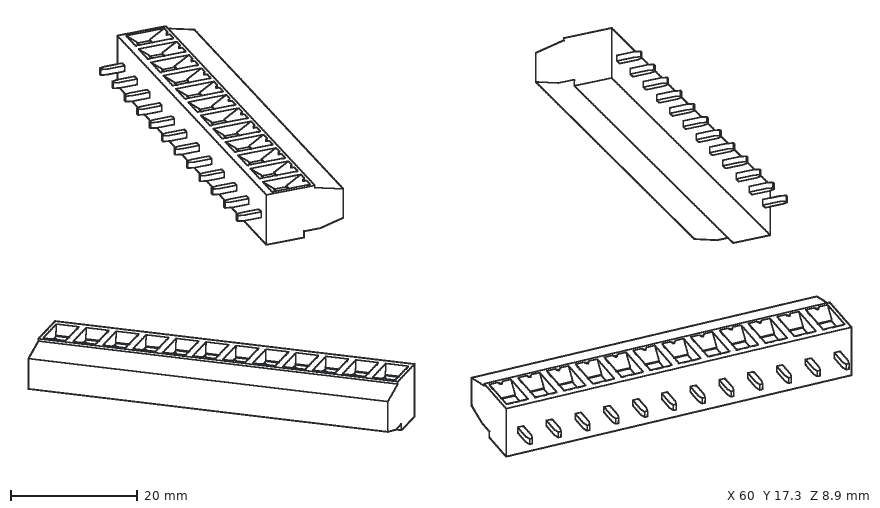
import cadquery as cq

pole_count = 12
pitch = 5.0
strip_length = pole_count * pitch

body_depth = 13.25
body_height = 8.9
top_face_depth = 8.35
top_step = 0.4
back_top_z = 7.3
back_bottom_z = 2.15
foot_depth = 6.5
foot_height = 1.1
ledge_end = 9.3

pocket_depth = 1.4
floor_step = 0.15
mouth_width = 3.75
mouth_front = 1.25
mouth_back = 7.8
floor_width = 2.7
floor_front = 2.9
floor_back = 5.1

tooth_width = 0.9
tooth_tip_width = 0.2
tooth_reach = 0.4

pin_size = 1.0
pin_length = 4.0
pin_z = body_height / 2
pin_taper_length = 0.9
pin_tip_width = 0.5


def make_housing():
    profile = [
        (0, 0),
        (foot_depth, 0),
        (foot_depth, foot_height),
        (ledge_end, foot_height),
        (body_depth, back_bottom_z),
        (body_depth, back_top_z),
        (top_face_depth, body_height - top_step),
        (top_face_depth, body_height),
        (0, body_height),
    ]
    return (
        cq.Workplane("YZ", origin=(-strip_length / 2, 0, 0))
        .polyline(profile)
        .close()
        .extrude(strip_length)
    )


def make_pocket(x):
    """Sloping cavity, less the tooth left standing at its back edge."""
    floor_z = body_height - pocket_depth
    step_z = floor_z + floor_step
    lengthwise = (
        cq.Workplane("YZ", origin=(x - mouth_width / 2, 0, 0))
        .polyline([
            (mouth_front, body_height),
            (floor_front, step_z),
            (floor_front, floor_z),
            (floor_back, floor_z),
            (floor_back, step_z),
            (mouth_back, body_height),
        ])
        .close()
        .extrude(mouth_width)
    )
    crosswise = (
        cq.Workplane("XZ", origin=(x, mouth_back, 0))
        .polyline([
            (-mouth_width / 2, body_height),
            (-floor_width / 2, floor_z),
            (floor_width / 2, floor_z),
            (mouth_width / 2, body_height),
        ])
        .close()
        .extrude(mouth_back - mouth_front)
    )
    tooth = (
        cq.Workplane("XY", origin=(x, mouth_back, body_height))
        .polyline([
            (-tooth_width / 2, 0),
            (-tooth_tip_width / 2, -tooth_reach),
            (tooth_tip_width / 2, -tooth_reach),
            (tooth_width / 2, 0),
        ])
        .close()
        .extrude(-pocket_depth)
    )
    return lengthwise.intersect(crosswise).cut(tooth)


def make_pin(x):
    """Square pin whose sides narrow towards the tip; it starts on the pin face."""
    taper_y = pin_taper_length - pin_length
    outline = [
        (-pin_size / 2, 0),
        (-pin_size / 2, taper_y),
        (-pin_tip_width / 2, -pin_length),
        (pin_tip_width / 2, -pin_length),
        (pin_size / 2, taper_y),
        (pin_size / 2, 0),
    ]
    return (
        cq.Workplane("XY", origin=(x, 0, pin_z - pin_size / 2))
        .polyline(outline)
        .close()
        .extrude(pin_size)
    )


result = make_housing()
for pole in range(pole_count):
    pole_x = (pole + 0.5) * pitch - strip_length / 2
    result = result.cut(make_pocket(pole_x)).union(make_pin(pole_x))